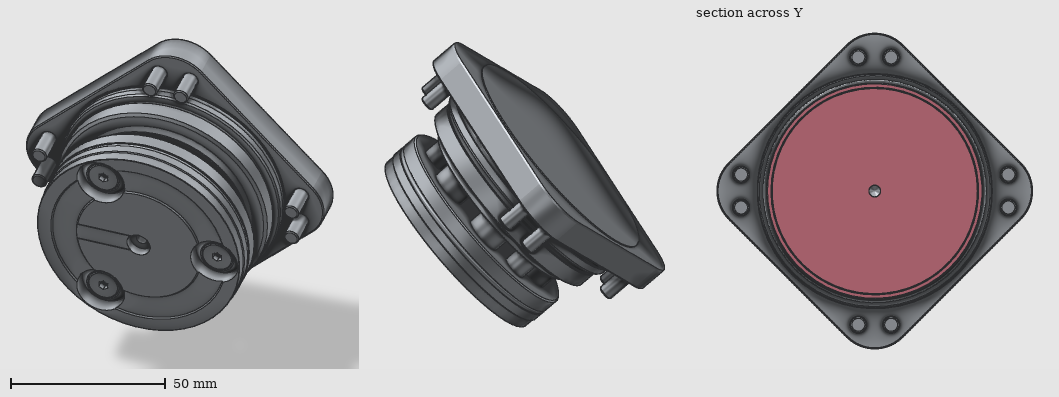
import cadquery as cq
import math


flange_thickness = 9.6
flange_reach = 51.0
flange_corner_radius = 12.8
flange_back_chamfer_length = 0.7
flange_back_chamfer_width = 0.15
flange_front_chamfer = 0.4
bore_radius = 38.0
back_pad_height = 0.4
bore_gap_depth = 0.6

pin_diameter = 5.0
pin_length = 9.5
pin_tip_chamfer = 0.4
pin_circle_radius = 43.5
pin_half_angle = 7.0
pin_countersink_diameter = 5.6

collar_radius = 37.75
collar_end = 5.0
collar_chamfer_width = 0.45
collar_chamfer_length = 0.7
neck_radius = 35.25
neck_end = 6.7
land_radius = 36.1
land_end = 12.9
land_back_chamfer = 0.25
land_front_chamfer_width = 1.1
land_front_chamfer_length = 0.6
nose_radius = 30.9
nose_end = 15.7
nose_chamfer = 0.25
nose_gap_width = 0.4
nose_gap_depth = 0.6

disc_radius = 35.0
disc_start = 21.7
disc_edge_chamfer = 0.5
disc_lead_radius = 34.65
disc_lead_start = 31.4
disc_lead_taper = 0.3
disc_end = 35.3
disc_end_chamfer = 0.15

seal_overlap = 0.04
collar_groove_width = 2.1
collar_groove_radius = 71.8 / 2
disc_groove_start = 26.75
disc_groove_width = 1.7
disc_groove_radius = 33.2
seal_recess = 0.02

post_diameter = 12.5
post_circle_radius = 22.9
post_half_angle = 25.0
screw_post_diameter = 8.0
screw_circle_radius = 26.0
screw_angles = [0, 120, 240]
post_pair_angles = [60, 180, 300]

pocket_diameter = 16.2
pocket_depth = 5.0
cone_base_diameter = 16.0
cone_top_diameter = 11.5
cone_top_depth = 2.9
head_diameter = 10.6
head_chamfer = 0.4
head_depth = 2.7
hex_across_flats = 3.0
hex_depth = 2.0

relief_outer_radius = 30.0
relief_inner_radius = 21.0
relief_depth = 0.5
relief_slope = 0.45
slot_width = 5.86
slot_depth = 0.3
centre_bore_diameter = 8.0
centre_bore_depth = 3.3
pilot_diameter = 3.7
pilot_depth = 5.0
drill_point_angle = 118.0


def at_level(level):
    """Workplane facing -Y; its local axes are the part's X and Z."""
    return cq.Workplane("XZ", origin=(0, -level, 0))


def turned(profile):
    """Solid of revolution about Y from (radius, level) points."""
    points = [(radius, -level) for radius, level in profile]
    return cq.Workplane("XY").polyline(points).close().revolve(360, (0, 0, 0), (0, 1, 0))


def polar(radius, angle):
    return (radius * math.cos(math.radians(angle)), radius * math.sin(math.radians(angle)))


def moved_to(shape, spot):
    return shape.translate((spot[0], 0, spot[1]))


def make_flange():
    half_side = (flange_reach - flange_corner_radius) / math.sqrt(2) + flange_corner_radius
    plate = (
        at_level(-flange_thickness)
        .transformed(rotate=(0, 0, 45))
        .rect(2 * half_side, 2 * half_side)
        .extrude(flange_thickness)
        .edges("|Y")
        .fillet(flange_corner_radius)
        .faces(">Y")
        .chamfer(flange_back_chamfer_length, flange_back_chamfer_width)
        .faces("<Y")
        .chamfer(flange_front_chamfer)
    )
    pad = at_level(-flange_thickness - back_pad_height).circle(bore_radius).extrude(back_pad_height)
    gap = at_level(-bore_gap_depth).circle(bore_radius).circle(collar_groove_radius).extrude(bore_gap_depth)
    return plate.union(pad).cut(gap)


def add_pins(body):
    pin_radius = pin_diameter / 2
    countersink_radius = pin_countersink_diameter / 2
    countersink_depth = countersink_radius - pin_radius
    pin = turned([
        (0, -countersink_depth),
        (pin_radius, -countersink_depth),
        (pin_radius, pin_length - pin_tip_chamfer),
        (pin_radius - pin_tip_chamfer, pin_length),
        (0, pin_length),
    ])
    countersink = turned([
        (0, -countersink_depth),
        (pin_radius, -countersink_depth),
        (countersink_radius, 0),
        (0, 0),
    ])
    for corner_angle in (0, 90, 180, 270):
        for side in (-1, 1):
            spot = polar(pin_circle_radius, corner_angle + side * pin_half_angle)
            body = body.cut(moved_to(countersink, spot)).union(moved_to(pin, spot))
    return body


def make_spigot():
    return turned([
        (0, 0),
        (collar_groove_radius, 0),
        (collar_groove_radius, collar_groove_width),
        (collar_radius, collar_groove_width),
        (collar_radius, collar_end - collar_chamfer_length),
        (collar_radius - collar_chamfer_width, collar_end),
        (neck_radius, collar_end),
        (neck_radius, neck_end),
        (land_radius - land_back_chamfer, neck_end),
        (land_radius, neck_end + land_back_chamfer),
        (land_radius, land_end - land_front_chamfer_length),
        (land_radius - land_front_chamfer_width, land_end),
        (nose_radius + nose_gap_width, land_end),
        (nose_radius + nose_gap_width, land_end - nose_gap_depth),
        (nose_radius, land_end - nose_gap_depth),
        (nose_radius, nose_end - nose_chamfer),
        (nose_radius - nose_chamfer, nose_end),
        (0, nose_end),
    ])


def make_disc():
    groove_end = disc_groove_start + disc_groove_width
    return turned([
        (0, disc_start),
        (disc_radius - disc_edge_chamfer, disc_start),
        (disc_radius, disc_start + disc_edge_chamfer),
        (disc_radius, disc_groove_start),
        (disc_groove_radius, disc_groove_start),
        (disc_groove_radius, groove_end),
        (disc_radius, groove_end),
        (disc_radius, disc_lead_start),
        (disc_lead_radius, disc_lead_start + disc_lead_taper),
        (disc_lead_radius, disc_end - disc_end_chamfer),
        (disc_lead_radius - disc_end_chamfer, disc_end),
        (0, disc_end),
    ])


def make_seal(shoulder_radius, groove_radius, groove_width, groove_start):
    """O-ring pressed into the groove walls, with a narrow web down to the groove floor."""
    section_radius = groove_width / 2 + seal_overlap
    centre_radius = shoulder_radius - seal_recess - section_radius
    level = groove_start + groove_width / 2
    ring = (
        cq.Workplane("XY")
        .center(-centre_radius, -level)
        .circle(section_radius)
        .revolve(360, (centre_radius, 0, 0), (centre_radius, 1, 0))
    )
    half_web = section_radius / 2
    web = turned([
        (groove_radius - half_web, level - half_web),
        (centre_radius, level - half_web),
        (centre_radius, level + half_web),
        (groove_radius - half_web, level + half_web),
    ])
    return ring.union(web)


def make_posts():
    gap = disc_start - nose_end
    posts = []
    for pair_angle in post_pair_angles:
        for side in (-1, 1):
            posts.append(polar(post_circle_radius, pair_angle + side * post_half_angle))
    screw_posts = [polar(screw_circle_radius, angle) for angle in screw_angles]
    base = at_level(nose_end)
    return (
        base.pushPoints(posts).circle(post_diameter / 2).extrude(gap)
        .union(base.pushPoints(screw_posts).circle(screw_post_diameter / 2).extrude(gap))
    )


def cut_face_relief(body):
    floor = disc_end - relief_depth
    ring = turned([
        (relief_inner_radius, disc_end),
        (relief_inner_radius + relief_slope, floor),
        (relief_outer_radius - relief_slope, floor),
        (relief_outer_radius, disc_end),
    ])
    slot_length = relief_inner_radius + relief_slope
    slot = (
        at_level(disc_end - slot_depth)
        .center(-slot_length / 2, 0)
        .rect(slot_length, slot_width)
        .extrude(slot_depth)
    )
    return body.cut(ring).cut(slot)


def cut_centre_hole(body):
    bore_floor = disc_end - centre_bore_depth
    pilot_floor = bore_floor - pilot_depth
    pilot_radius = pilot_diameter / 2
    point_depth = pilot_radius / math.tan(math.radians(drill_point_angle / 2))
    hole = turned([
        (0, disc_end),
        (centre_bore_diameter / 2, disc_end),
        (centre_bore_diameter / 2, bore_floor),
        (pilot_radius, bore_floor),
        (pilot_radius, pilot_floor),
        (0, pilot_floor - point_depth),
    ])
    return body.cut(hole)


def add_screws(body):
    pocket_floor = disc_end - pocket_depth
    cone_top = disc_end - cone_top_depth
    head_top = disc_end - head_depth
    head_radius = head_diameter / 2
    pocket = at_level(pocket_floor).circle(pocket_diameter / 2).extrude(pocket_depth)
    screw = turned([
        (0, pocket_floor),
        (cone_base_diameter / 2, pocket_floor),
        (cone_top_diameter / 2, cone_top),
        (head_radius, cone_top),
        (head_radius, head_top - head_chamfer),
        (head_radius - head_chamfer, head_top),
        (0, head_top),
    ])
    hex_across_corners = hex_across_flats / math.cos(math.radians(30))
    socket = (
        at_level(head_top - hex_depth)
        .transformed(rotate=(0, 0, 90))
        .polygon(6, hex_across_corners)
        .extrude(hex_depth)
    )
    screw = screw.cut(socket)
    for angle in screw_angles:
        spot = polar(screw_circle_radius, angle)
        body = body.cut(moved_to(pocket, spot)).union(moved_to(screw, spot))
    return body


disc = add_screws(cut_centre_hole(cut_face_relief(make_disc())))
collar_seal = make_seal(collar_radius, collar_groove_radius, collar_groove_width, 0)
disc_seal = make_seal(disc_radius, disc_groove_radius, disc_groove_width, disc_groove_start)

result = (
    add_pins(make_flange())
    .union(make_spigot())
    .union(collar_seal)
    .union(make_posts())
    .union(disc)
    .union(disc_seal)
)